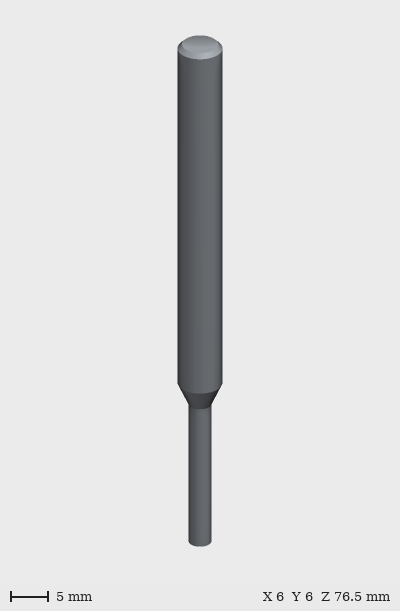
import cadquery as cq
import math

total_length = 76.55
shank_diameter = 6.0
drill_diameter = 3.1
tip_angle = 140.0

cutting_length = 9.9
neck_length = 11.7
taper_length = 3.2
end_chamfer = 0.6

shank_radius = shank_diameter / 2
drill_radius = drill_diameter / 2
tip_height = drill_radius / math.tan(math.radians(tip_angle / 2))

point_z = -total_length / 2
top_z = total_length / 2
joint_z = point_z + cutting_length
neck_top_z = joint_z + neck_length
taper_top_z = neck_top_z + taper_length


def revolve_profile(points):
    """Revolve a closed (radius, height) outline a full turn about Z."""
    return cq.Workplane("XZ").polyline(points).close().revolve(360, (0, 0), (0, 1))


def make_shank():
    """Holder body: chamfered cylinder tapering down to the slim neck."""
    return revolve_profile([
        (0, joint_z),
        (drill_radius, joint_z),
        (drill_radius, neck_top_z),
        (shank_radius, taper_top_z),
        (shank_radius, top_z - end_chamfer),
        (shank_radius - end_chamfer, top_z),
        (0, top_z),
    ])


def make_cutting_tip():
    """Cutting end: cylinder with a conical point, butted against the neck."""
    return revolve_profile([
        (0, point_z),
        (drill_radius, point_z + tip_height),
        (drill_radius, joint_z),
        (0, joint_z),
    ])


shank = make_shank()
cutting_tip = make_cutting_tip()

result = cq.Compound.makeCompound([shank.val(), cutting_tip.val()])